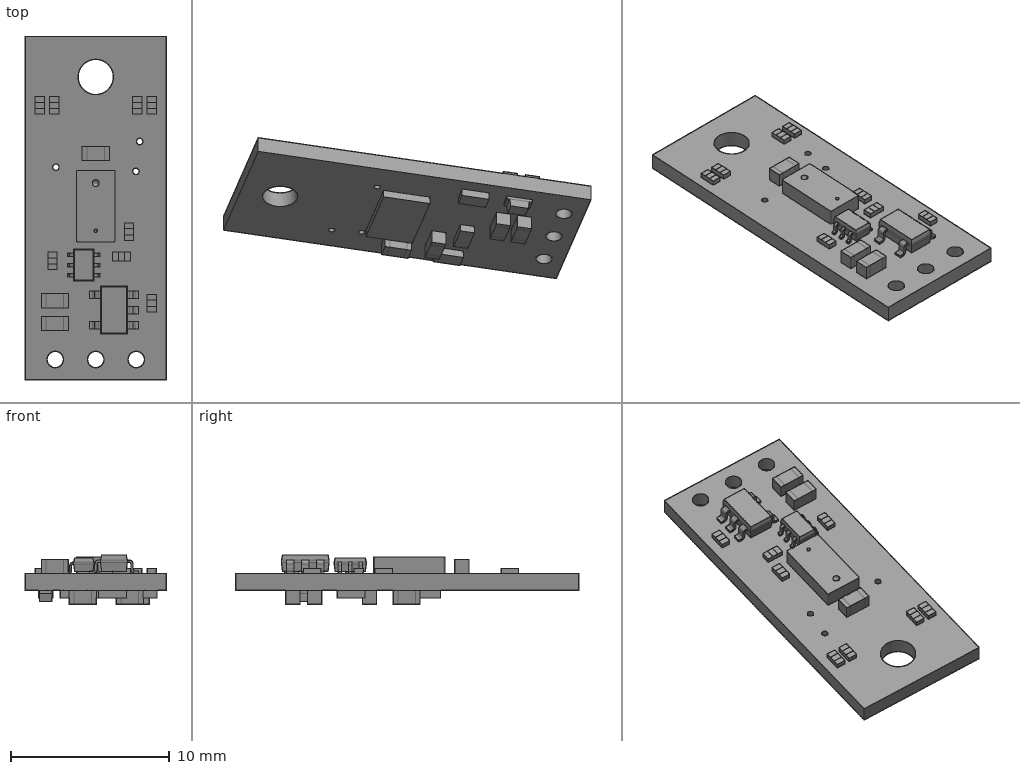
import cadquery as cq

BOARD_X = 8.9
BOARD_Y = 21.6
BOARD_T = 1.05

MOUNT_HOLE_D = 2.2
MOUNT_HOLE_Y = 8.25
PIN_HOLE_D = 1.01
PIN_PITCH = 2.55
PIN_ROW_Y = -9.52
VIA_D = 0.39
VIA_CENTRES = [(2.76, 4.19), (-2.5, 2.57), (2.53, 2.3)]

RESISTOR_LENGTH = 1.1
RESISTOR_WIDTH = 0.58
RESISTOR_H = 0.32
COATING_LENGTH = 0.39
COATING_T = 0.01

CAPACITOR_LENGTH = 1.7
CAPACITOR_WIDTH = 0.9
CAPACITOR_H = 0.89
TERMINAL_LENGTH = 0.3

TOP_RESISTORS = [
    (-3.52, 6.45, True),
    (-2.61, 6.45, True),
    (2.61, 6.45, True),
    (3.52, 6.45, True),
    (2.1, -1.5, True),
    (-2.72, -3.32, True),
    (1.62, -3.05, False),
    (3.52, -5.98, True),
]
TOP_CAPACITORS = [(0.0, 3.43, False), (-2.57, -5.83, False), (-2.57, -7.25, False)]
BOTTOM_CAPACITORS = [
    (2.91, -0.05, True),
    (2.14, -2.37, False),
    (-0.82, -5.83, False),
    (-0.82, -7.2, False),
]

MODULE_X = 2.42
MODULE_Y = 4.5
MODULE_H = 1.04
MODULE_CENTRE_Y = 0.13
MODULE_CORNER_R = 0.06
DIMPLES = [(1.58, 0.22), (-1.42, 0.1)]

FLAT_H = 0.5
FLAT_IC_X = 4.5
FLAT_IC_Y = 3.0
FLAT_IC_CENTRE_Y = 0.6
DIODE_LENGTH = 1.75
DIODE_WIDTH = 0.9
DIODE_COLUMN_X = 3.15
DIODES = [(-DIODE_COLUMN_X, -3.52, True), (3.41, -3.52, True), (1.05, -3.95, False)]

LED_CENTRE_Y = -6.4
LED_X = 0.8
LED_PLATE_Y = 1.65
LED_PLATE_H = 0.2
LED_LENS_BASE_Y = 1.3
LED_LENS_TIP_Y = 1.15
LED_H = 0.71


SIX_LEAD_PITCH = 0.65
SIX_LEAD_BODY = dict(x=-0.75, y=-3.58, size=(1.27, 2.03), draft=0.06, bottom_z=0.1, top_z=0.97)
SIX_LEAD_SHAPE = dict(
    width=0.22, thick=0.13, top_z=0.71, flat_end=0.67, bend_r=0.22, foot_r=0.09, tip=1.04
)
FIVE_LEAD_PITCH = 0.95
FIVE_LEAD_BODY = dict(x=1.15, y=-6.41, size=(1.68, 3.0), draft=0.06, bottom_z=0.13, top_z=1.17)
FIVE_LEAD_SHAPE = dict(
    width=0.47, thick=0.15, top_z=0.85, flat_end=0.97, bend_r=0.24, foot_r=0.13, tip=1.53
)


def block(size_x, size_y, height, x, y):
    """Box standing on the upper face of the board."""
    return (
        cq.Workplane("XY", origin=(x, y, BOARD_T))
        .rect(size_x, size_y)
        .extrude(height)
    )


def to_underside(part):
    """Move a part from the upper face to the lower face of the board."""
    return part.mirror("XY", (0, 0, BOARD_T / 2))


def oriented_block(length, width, height, x, y, along_y):
    """Box whose length runs along Y or along X."""
    if along_y:
        return block(width, length, height, x, y)
    return block(length, width, height, x, y)


def resistor(x, y, along_y):
    """Block with the coating standing slightly proud of its ends."""
    base = oriented_block(RESISTOR_LENGTH, RESISTOR_WIDTH, RESISTOR_H - COATING_T, x, y, along_y)
    middle = oriented_block(COATING_LENGTH, RESISTOR_WIDTH, RESISTOR_H, x, y, along_y)
    return base.union(middle)


def capacitor(x, y, along_y):
    """Body and terminals; their joints stay as edges on the faces."""
    body_length = CAPACITOR_LENGTH - 2 * TERMINAL_LENGTH
    part = oriented_block(body_length, CAPACITOR_WIDTH, CAPACITOR_H, x, y, along_y)
    shift = (CAPACITOR_LENGTH - TERMINAL_LENGTH) / 2
    for side in (-1, 1):
        end_x = x if along_y else x + side * shift
        end_y = y + side * shift if along_y else y
        end = oriented_block(TERMINAL_LENGTH, CAPACITOR_WIDTH, CAPACITOR_H, end_x, end_y, along_y)
        part = part.union(end, clean=False)
    return part


def frustum(lower, lower_z, upper, upper_z, x, y):
    """Rectangular frustum between two heights above the upper face of the board."""
    return (
        cq.Workplane("XY", origin=(x, y, BOARD_T + lower_z))
        .rect(*lower)
        .workplane(offset=upper_z - lower_z)
        .rect(*upper)
        .loft(ruled=True)
    )


def gull_wing_lead(x, y, side, width, thick, top_z, root, flat_end, bend_r, foot_r, tip):
    """Bent lead pointing to +X (side = 1) or -X (side = -1); distances run outward from x."""
    wall = flat_end + bend_r
    foot_start = wall + foot_r
    return (
        cq.Workplane(cq.Plane((x, y, BOARD_T), (side, 0, 0), (0, -side, 0)))
        .moveTo(root, top_z)
        .lineTo(flat_end, top_z)
        .tangentArcPoint((wall, top_z - bend_r), relative=False)
        .lineTo(wall, thick + foot_r)
        .tangentArcPoint((foot_start, thick), relative=False)
        .lineTo(tip, thick)
        .lineTo(tip, 0)
        .lineTo(foot_start, 0)
        .tangentArcPoint((wall - thick, thick + foot_r), relative=False)
        .lineTo(wall - thick, top_z - bend_r)
        .tangentArcPoint((flat_end, top_z - thick), relative=False)
        .lineTo(root, top_z - thick)
        .close()
        .extrude(width / 2, both=True)
    )


def leaded_package(x, y, size, draft, bottom_z, top_z, left_rows, right_rows, lead):
    """Moulded body, widest in a band level with the leads, on two rows of leads."""
    narrow = (size[0] - 2 * draft, size[1] - 2 * draft)
    band_top = lead["top_z"]
    band_bottom = band_top - lead["thick"]
    part = frustum(narrow, bottom_z, size, band_bottom, x, y)
    part = part.union(frustum(size, band_bottom, size, band_top, x, y), clean=False)
    part = part.union(frustum(size, band_top, narrow, top_z, x, y), clean=False)
    root = narrow[0] / 2
    for side, rows in ((-1, left_rows), (1, right_rows)):
        for row in rows:
            part = part.union(gull_wing_lead(x, y + row, side, root=root, **lead), clean=False)
    return part


def make_board():
    holes = [(0, MOUNT_HOLE_Y, MOUNT_HOLE_D)]
    holes += [(i * PIN_PITCH, PIN_ROW_Y, PIN_HOLE_D) for i in (-1, 0, 1)]
    holes += [(x, y, VIA_D) for x, y in VIA_CENTRES]
    board = cq.Workplane("XY").rect(BOARD_X, BOARD_Y).extrude(BOARD_T)
    for x, y, diameter in holes:
        board = board.cut(cq.Workplane("XY", origin=(x, y, 0)).circle(diameter / 2).extrude(BOARD_T))
    return board


def make_module():
    module = block(MODULE_X, MODULE_Y, MODULE_H, 0, MODULE_CENTRE_Y).edges("|Z").fillet(MODULE_CORNER_R)
    for y, radius in DIMPLES:
        plane = cq.Plane((0, y, BOARD_T + MODULE_H), (0, 0, -1), (1, 0, 0))
        module = module.cut(cq.Workplane(plane).sphere(radius), clean=False)
    return module


def make_six_lead_package():
    rows = (-SIX_LEAD_PITCH, 0, SIX_LEAD_PITCH)
    return leaded_package(**SIX_LEAD_BODY, left_rows=rows, right_rows=rows, lead=SIX_LEAD_SHAPE)


def make_five_lead_package():
    outer_rows = (-FIVE_LEAD_PITCH, FIVE_LEAD_PITCH)
    all_rows = (-FIVE_LEAD_PITCH, 0, FIVE_LEAD_PITCH)
    return leaded_package(
        **FIVE_LEAD_BODY, left_rows=outer_rows, right_rows=all_rows, lead=FIVE_LEAD_SHAPE
    )


def make_led():
    x = -DIODE_COLUMN_X
    plate = block(LED_X, LED_PLATE_Y, LED_PLATE_H, x, LED_CENTRE_Y)
    lens = frustum(
        (LED_X, LED_LENS_BASE_Y), LED_PLATE_H, (LED_X, LED_LENS_TIP_Y), LED_H, x, LED_CENTRE_Y
    )
    return plate.union(lens, clean=False)


top_parts = [resistor(*place) for place in TOP_RESISTORS]
top_parts += [capacitor(*place) for place in TOP_CAPACITORS]
top_parts += [make_module(), make_six_lead_package(), make_five_lead_package()]

bottom_parts = [capacitor(*place) for place in BOTTOM_CAPACITORS]
bottom_parts += [oriented_block(DIODE_LENGTH, DIODE_WIDTH, FLAT_H, *place) for place in DIODES]
bottom_parts += [block(FLAT_IC_X, FLAT_IC_Y, FLAT_H, 0, FLAT_IC_CENTRE_Y), make_led()]

result = make_board()
for part in top_parts + [to_underside(part) for part in bottom_parts]:
    result = result.union(part, clean=False)